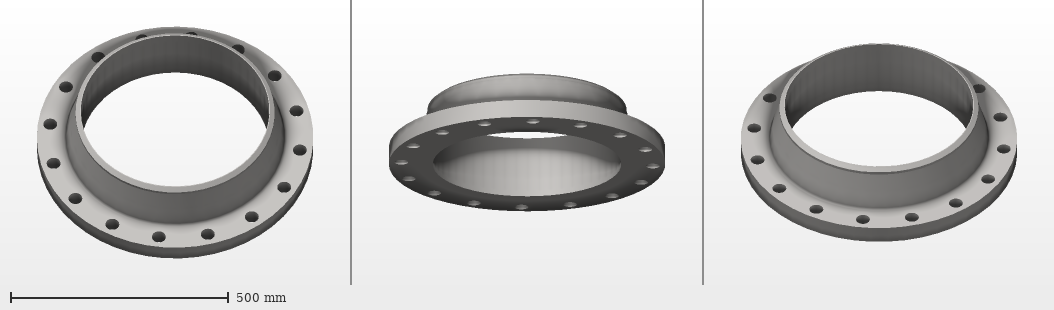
import cadquery as cq
import math

FLANGE_RADIUS = 317.5
FLANGE_THICKNESS = 41.0
BORE_RADIUS = 216.5

TOTAL_HEIGHT = 141.5
HUB_BASE_RADIUS = 252.5
NECK_RADIUS = 228.5
NECK_BOTTOM = 127.0
RIM_WIDTH = 2.0
BEVEL_ANGLE = math.radians(37.5)
HUB_FILLET = 6.5

BOLT_COUNT = 16
BOLT_CIRCLE_RADIUS = 289.0
BOLT_HOLE_DIAMETER = 32.0


def make_body():
    """Revolve the half section of the flange, hub and bore about Z."""
    rim_radius = BORE_RADIUS + RIM_WIDTH
    bevel_height = (NECK_RADIUS - rim_radius) * math.tan(BEVEL_ANGLE)
    section = (
        cq.Workplane("XZ")
        .moveTo(BORE_RADIUS, 0)
        .lineTo(FLANGE_RADIUS, 0)
        .lineTo(FLANGE_RADIUS, FLANGE_THICKNESS)
        .lineTo(HUB_BASE_RADIUS, FLANGE_THICKNESS)
        .lineTo(NECK_RADIUS, NECK_BOTTOM)
        .lineTo(NECK_RADIUS, TOTAL_HEIGHT - bevel_height)
        .lineTo(rim_radius, TOTAL_HEIGHT)
        .lineTo(BORE_RADIUS, TOTAL_HEIGHT)
        .close()
    )
    return section.revolve(360, (0, 0, 0), (0, 1, 0))


def round_hub_base(body):
    """Fillet the inside corner where the hub meets the flange."""
    hub_base_edge = cq.selectors.RadiusNthSelector(-2)
    return body.edges(hub_base_edge).fillet(HUB_FILLET)


def drill_bolt_holes(body):
    """Drill the ring of through holes, the first one on +X."""
    return (
        body.faces("<Z")
        .workplane(origin=(0, 0, 0))
        .polarArray(BOLT_CIRCLE_RADIUS, 0, 360, BOLT_COUNT)
        .hole(BOLT_HOLE_DIAMETER, FLANGE_THICKNESS)
    )


result = drill_bolt_holes(round_hub_base(make_body()))